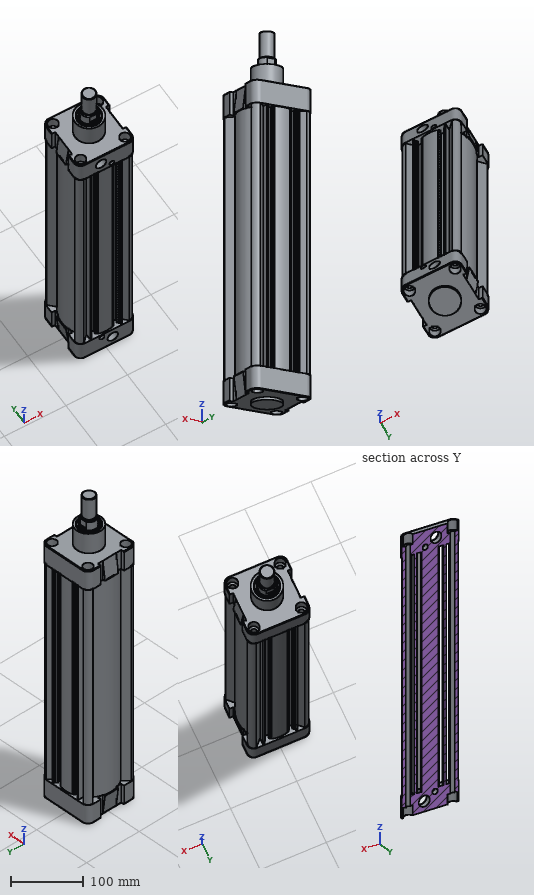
import cadquery as cq
import math

TOTAL_LENGTH = 538.0
REAR_COLLAR_HEIGHT = 4.0
FRONT_COLLAR_TOP = 486.3
CAP_HEIGHT = 33.5
FRONT_CAP_TOP = 452.0
REAR_CAP_TOP = REAR_COLLAR_HEIGHT + CAP_HEIGHT
FRONT_CAP_BOTTOM = FRONT_CAP_TOP - CAP_HEIGHT

CAP_SIZE = 94.0
CAP_HALF = CAP_SIZE / 2
CAP_CORNER_RADIUS = 10.5
CAP_EDGE_CHAMFER = 1.0
NOTCH_HALF_WIDTH = 22.0
NOTCH_FLOOR = 41.3
WEDGE_CREST_HALF_WIDTH = 12.5
WEDGE_ROOT_HALF_WIDTH = 12.8
WEDGE_PEAK = 45.5

SCREW_OFFSET = 36.0
SCREW_HOLE_DIAMETER = 8.5
SCREW_RECESS_DIAMETER = 16.0
SCREW_RECESS_DEPTH = 16.0

PORT_DIAMETER = 17.0
PORT_OFFSET_X = 9.5
PORT_FROM_CAP_END = 17.0
NEEDLE_DIAMETER = 8.0
NEEDLE_OFFSET_X = 8.0
NEEDLE_FROM_CAP_END = 27.3

CHAMBER_DIAMETER = 30.0
CHAMBER_BOTTOM = 11.0

TUBE_HALF = 46.0
TUBE_CORNER_RADIUS = 9.2
BARREL_RADIUS = 44.4
FACET_INNER = 26.3
LIP_TOP = 45.0
SLOT_CENTER = 17.8
SLOT_SHOULDER_WIDTH = 11.8
SLOT_SHOULDER_LEVEL = 42.0
SLOT_MOUTH_WIDTH = 5.0
SLOT_MOUTH_CHAMFER = 1.6
SLOT_LIP_LEVEL = 39.0
SLOT_CAVITY_WIDTH = 8.0
SLOT_FLOOR_LEVEL = 35.0

COLLAR_DIAMETER = 45.0
RING_GROOVE_OUTER = 37.0
RING_GROOVE_INNER = 34.0
RING_GROOVE_DEPTH = 1.0
ROD_RECESS_DIAMETER = 29.0
ROD_RECESS_DEPTH = 6.0
ROD_DIAMETER = 25.0
ROD_SHOULDER = 499.0
FLAT_BOTTOM = 487.5
ACROSS_FLATS = 22.0
THREAD_DIAMETER = 21.0
THREAD_BOTTOM = 501.0
UNDERCUT_DIAMETER = 18.5
THREAD_CHAMFER = 1.0


def cylinder(diameter, bottom, top):
    return cq.Workplane("XY").workplane(offset=bottom).circle(diameter / 2).extrude(top - bottom)


def box(x_range, y_range, z_range):
    size = [high - low for low, high in (x_range, y_range, z_range)]
    corner = (x_range[0], y_range[0], z_range[0])
    return cq.Workplane("XY").box(*size, centered=False).translate(corner)


def side_wedge():
    """Ramp with splayed flanks in a +X notch, level with the floor at the outer end face."""
    ramp = (
        cq.Workplane("XZ")
        .polyline([(NOTCH_FLOOR, 0), (NOTCH_FLOOR, CAP_HEIGHT), (WEDGE_PEAK, 0)])
        .close()
        .extrude(CAP_HALF, both=True)
    )
    flanks = (
        cq.Workplane("XY")
        .polyline([
            (NOTCH_FLOOR, -WEDGE_ROOT_HALF_WIDTH),
            (WEDGE_PEAK, -WEDGE_CREST_HALF_WIDTH),
            (WEDGE_PEAK, WEDGE_CREST_HALF_WIDTH),
            (NOTCH_FLOOR, WEDGE_ROOT_HALF_WIDTH),
        ])
        .close()
        .extrude(CAP_HEIGHT)
    )
    return ramp.intersect(flanks)


def face_hole(diameter, x, z):
    return cq.Workplane("XZ", origin=(x, 0, z)).circle(diameter / 2).extrude(CAP_HALF)


def end_cap():
    """Cap with its tube side at Z = 0 and its outer end face at Z = CAP_HEIGHT."""
    cap = (
        cq.Workplane("XY")
        .rect(CAP_SIZE, CAP_SIZE)
        .extrude(CAP_HEIGHT)
        .edges("|Z")
        .fillet(CAP_CORNER_RADIUS)
        .faces(">Z")
        .edges()
        .chamfer(CAP_EDGE_CHAMFER)
    )
    notch = box((NOTCH_FLOOR, CAP_HALF), (-NOTCH_HALF_WIDTH, NOTCH_HALF_WIDTH), (0, CAP_HEIGHT))
    wedge = side_wedge()
    cap = cap.cut(notch).cut(notch.mirror("YZ"))
    cap = cap.union(wedge).union(wedge.mirror("YZ"))
    port_z = CAP_HEIGHT - PORT_FROM_CAP_END
    needle_z = CAP_HEIGHT - NEEDLE_FROM_CAP_END
    cap = cap.cut(face_hole(PORT_DIAMETER, -PORT_OFFSET_X, port_z))
    return cap.cut(face_hole(NEEDLE_DIAMETER, NEEDLE_OFFSET_X, needle_z))


def facet_recess(length):
    """Space on the +X side of the tube between two corner lobes, outside the barrel."""
    lobe_edge = TUBE_HALF - TUBE_CORNER_RADIUS
    facet_foot = TUBE_HALF - (lobe_edge - FACET_INNER)
    barrel_side = math.sqrt(BARREL_RADIUS**2 - FACET_INNER**2)
    return (
        cq.Workplane("XY")
        .moveTo(TUBE_HALF, -lobe_edge)
        .lineTo(facet_foot, -FACET_INNER)
        .lineTo(barrel_side, -FACET_INNER)
        .threePointArc((BARREL_RADIUS, 0), (barrel_side, FACET_INNER))
        .lineTo(facet_foot, FACET_INNER)
        .lineTo(TUBE_HALF, lobe_edge)
        .close()
        .extrude(length)
    )


def sensor_slot(length):
    """Space of a stepped T-slot that opens toward +Y, centred on X = 0."""
    half_shoulder = SLOT_SHOULDER_WIDTH / 2
    half_mouth = SLOT_MOUTH_WIDTH / 2
    half_cavity = SLOT_CAVITY_WIDTH / 2
    right_half = [
        (half_shoulder, TUBE_HALF),
        (half_shoulder, SLOT_SHOULDER_LEVEL),
        (half_mouth + SLOT_MOUTH_CHAMFER, SLOT_SHOULDER_LEVEL),
        (half_mouth, SLOT_SHOULDER_LEVEL - SLOT_MOUTH_CHAMFER),
        (half_mouth, SLOT_LIP_LEVEL),
        (half_cavity, SLOT_LIP_LEVEL),
        (half_cavity, SLOT_FLOOR_LEVEL),
    ]
    left_half = [(-x, y) for x, y in reversed(right_half)]
    return cq.Workplane("XY").polyline(right_half + left_half).close().extrude(length)


def tube():
    length = FRONT_CAP_BOTTOM - REAR_CAP_TOP
    body = (
        cq.Workplane("XY")
        .rect(2 * TUBE_HALF, 2 * TUBE_HALF)
        .extrude(length)
        .edges("|Z")
        .fillet(TUBE_CORNER_RADIUS)
    )
    recess = facet_recess(length)
    for quarter in range(4):
        body = body.cut(recess.rotate((0, 0, 0), (0, 0, 1), 90 * quarter))
    lip = box((SLOT_CENTER, FACET_INNER), (SLOT_FLOOR_LEVEL, LIP_TOP), (0, length))
    for one_lip in (lip, lip.mirror("YZ")):
        body = body.union(one_lip).union(one_lip.mirror("XZ"))
    for x in (-SLOT_CENTER, SLOT_CENTER):
        slot = sensor_slot(length).translate((x, 0, 0))
        body = body.cut(slot).cut(slot.mirror("XZ"))
    return body.translate((0, 0, REAR_CAP_TOP))


def front_collar():
    collar = cylinder(COLLAR_DIAMETER, FRONT_CAP_TOP, FRONT_COLLAR_TOP)
    groove_bottom = FRONT_COLLAR_TOP - RING_GROOVE_DEPTH
    groove = cylinder(RING_GROOVE_OUTER, groove_bottom, FRONT_COLLAR_TOP)
    groove = groove.cut(cylinder(RING_GROOVE_INNER, groove_bottom, FRONT_COLLAR_TOP))
    recess = cylinder(ROD_RECESS_DIAMETER, FRONT_COLLAR_TOP - ROD_RECESS_DEPTH, FRONT_COLLAR_TOP)
    return collar.cut(groove).cut(recess)


def piston_rod():
    rod = cylinder(ROD_DIAMETER, FRONT_CAP_BOTTOM, ROD_SHOULDER)
    half_rod = ROD_DIAMETER / 2
    flat = box((-half_rod, half_rod), (ACROSS_FLATS / 2, half_rod), (FLAT_BOTTOM, ROD_SHOULDER))
    rod = rod.cut(flat).cut(flat.mirror("XZ"))
    thread = cylinder(THREAD_DIAMETER, THREAD_BOTTOM, TOTAL_LENGTH).faces(">Z").chamfer(THREAD_CHAMFER)
    return rod.union(cylinder(UNDERCUT_DIAMETER, ROD_SHOULDER, THREAD_BOTTOM)).union(thread)


def screw_hole(x, y):
    """Through hole with a screw-head recess in each end cap."""
    hole = cylinder(SCREW_HOLE_DIAMETER, REAR_COLLAR_HEIGHT, FRONT_CAP_TOP)
    front = cylinder(SCREW_RECESS_DIAMETER, FRONT_CAP_TOP - SCREW_RECESS_DEPTH, FRONT_CAP_TOP)
    rear_end = REAR_COLLAR_HEIGHT + SCREW_RECESS_DEPTH
    rear = cylinder(SCREW_RECESS_DIAMETER, REAR_COLLAR_HEIGHT, rear_end)
    return hole.union(front).union(rear).translate((x, y, 0))


front_cap = end_cap().translate((0, 0, FRONT_CAP_BOTTOM))
rear_cap = end_cap().rotate((0, 0, 0), (0, 1, 0), 180).translate((0, 0, REAR_CAP_TOP))
rear_cap = rear_cap.cut(cylinder(CHAMBER_DIAMETER, CHAMBER_BOTTOM, REAR_CAP_TOP))
rear_collar = cylinder(COLLAR_DIAMETER, 0, REAR_COLLAR_HEIGHT)

result = tube().union(front_cap).union(rear_cap).union(rear_collar)
result = result.union(front_collar()).union(piston_rod())
for screw_x in (-SCREW_OFFSET, SCREW_OFFSET):
    for screw_y in (-SCREW_OFFSET, SCREW_OFFSET):
        result = result.cut(screw_hole(screw_x, screw_y))